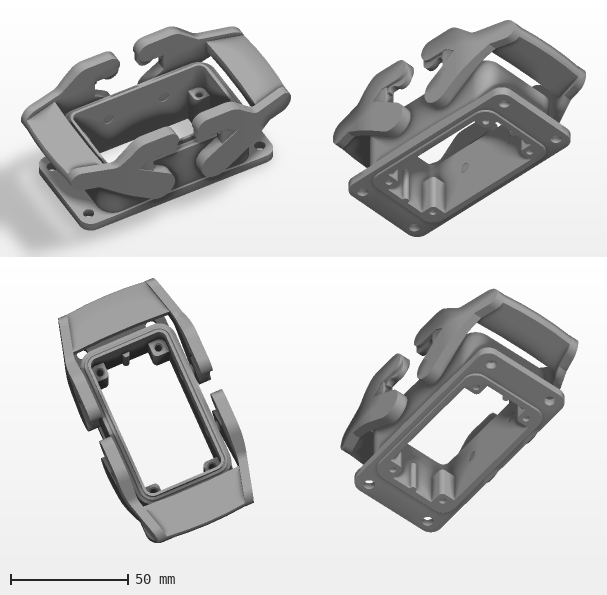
import cadquery as cq
import math

BASE_WIDTH = 45.4
BASE_LENGTH = 93.7
BASE_CORNER_RADIUS = 5.4
BASE_BOTTOM = 0.9
BASE_TOP = 4.9
CROWN_TOP = 5.8
CROWN_HALF_LENGTH = 31.2
BASE_HOLE_X = 16.0
BASE_HOLE_Y = 41.8
BASE_HOLE_RADIUS = 2.4

BODY_WIDTH = 43.6
BODY_LENGTH = 73.0
BODY_CORNER_RADIUS = 7.7
BODY_TOP = 27.7
LIP_TOP = 30.0
LIP_INSET = 3.2
CAVITY_INSET = 4.4
FOOT_INSET = 1.3
FOOT_CHAMFER = 0.3

BEAD_INSET = 1.3
BEAD_WIDTH = 1.6
BEAD_HEIGHT = 0.7
BEAD_BEVEL = 0.5

BOSS_INNER_X = 10.4
BOSS_INNER_Y = 25.3
BOSS_CORNER_RADIUS = 2.0
BOSS_TOP = 16.7
BOSS_HOLE_X = 13.6
BOSS_HOLE_Y = 28.6
BOSS_HOLE_RADIUS = 1.5
BOSS_SINK_RADIUS = 2.2
NUB_RADIUS = 1.5
NUB_Y = 31.8

PIVOT_Y = 13.6
PIVOT_Z = 18.6
PIN_RADIUS = 2.5
PIN_RECESS = 0.3

LEVER_WIDTH = 57.0
ARM_THICKNESS = 5.3
ARM_END_Y = 53.7
ARM_SLOPE_DEG = 15.0
OUTER_BEND_START_Y = 25.2
OUTER_BEND_RADIUS = 34.3
INNER_BEND_START_Y = 32.0
INNER_BEND_RADIUS = 16.4

EYE_RADIUS = 7.0
GRIP_RADIUS = 5.0
GRIP_Z = 33.9
GRIP_ROOT = (33.7, 38.5)
GRIP_ROOT_RADIUS = 4.4
GRIP_UNDERSIDE_Y = 41.6
LEVER_TOP = 47.7
SHOULDER_Y = 23.2
SHOULDER_RADIUS = 8.0
NOSE_END_Y = 4.6
NOSE_RADIUS = 5.0
NOSE_Z = 42.6
MOUTH_Y = 19.0
MOUTH_POINT = (24.1, 33.7)

WEB_THICKNESS = 4.8
WEB_EDGE_Y = 16.7
HOOK_THICKNESS = 2.6
HOOK_BOTTOM = 34.7
NOTCH_Y = 13.5
NOTCH_RADIUS = 2.0
LOBE_RADIUS = 3.9
LOBE_Z = 38.3

BAR_BOTTOM = 31.0
BAR_TOP = 36.3
BAR_END_Y = 54.7
BAR_OUTER_RADIUS = 153.2
BAR_INNER_Y = 37.8
BAR_INNER_RADIUS = 290.0

LEVER_HALF_WIDTH = LEVER_WIDTH / 2
ARM_INNER_X = LEVER_HALF_WIDTH - ARM_THICKNESS
CAVITY_HALF_WIDTH = BODY_WIDTH / 2 - CAVITY_INSET
CAVITY_HALF_LENGTH = BODY_LENGTH / 2 - CAVITY_INSET
GRIP_CENTER = (ARM_END_Y - GRIP_RADIUS, GRIP_Z)
GRIP_BOTTOM = GRIP_Z - GRIP_RADIUS
GRIP_TOP = GRIP_Z + GRIP_RADIUS
NOSE_CENTER = (NOSE_END_Y + NOSE_RADIUS, NOSE_Z)
NOSE_BOTTOM = NOSE_Z - NOSE_RADIUS
EYE_CENTER = (PIVOT_Y, PIVOT_Z)
SIGNS = (-1, 1)
CORNERS = [(x, y) for x in SIGNS for y in SIGNS]


def body_block(inset, bottom, top, taper=0):
    """Rounded block that follows the body outline, moved inward by the inset."""
    return (
        cq.Workplane("XY", origin=(0, 0, bottom))
        .sketch()
        .rect(BODY_WIDTH - 2 * inset, BODY_LENGTH - 2 * inset)
        .vertices()
        .fillet(BODY_CORNER_RADIUS - inset)
        .finalize()
        .extrude(top - bottom, taper=taper)
    )


def upright_cylinder(x, y, radius, bottom, top):
    return cq.Workplane("XY", origin=(x, y, bottom)).circle(radius).extrude(top - bottom)


def cross_cylinder(y, z, radius, half_length):
    """Cylinder along X, centred on X = 0."""
    return cq.Workplane("YZ").center(y, z).circle(radius).extrude(half_length, both=True)


def tangent_point(point, center, radius, side):
    """Where the line from a point touches a circle; side picks one of the two answers."""
    dy, dz = point[0] - center[0], point[1] - center[1]
    angle = math.atan2(dz, dy) + side * math.acos(radius / math.hypot(dy, dz))
    return center[0] + radius * math.cos(angle), center[1] + radius * math.sin(angle)


def rounded_outline(plane, corners):
    """Closed outline through (u, v, radius) corners, each rounded by its radius."""
    outline = None
    for index, (u, v, radius) in enumerate(corners):
        before = corners[index - 1]
        after = corners[(index + 1) % len(corners)]
        to_before = cq.Vector(before[0] - u, before[1] - v).normalized()
        to_after = cq.Vector(after[0] - u, after[1] - v).normalized()
        corner = cq.Vector(u, v)
        half_angle = to_before.getAngle(to_after) / 2
        setback = radius / math.tan(half_angle)
        start = corner + to_before * setback
        end = corner + to_after * setback
        bisector = (to_before + to_after).normalized()
        middle = corner + bisector * (radius / math.sin(half_angle) - radius)
        if outline is None:
            outline = plane.moveTo(start.x, start.y)
        else:
            outline = outline.lineTo(start.x, start.y)
        if radius > 0:
            outline = outline.threePointArc((middle.x, middle.y), (end.x, end.y))
    return outline.close()


def make_base():
    """Mounting plate with a slightly crowned top and four screw holes."""
    profile = (
        cq.Workplane("YZ")
        .moveTo(-BASE_LENGTH / 2, BASE_BOTTOM)
        .lineTo(BASE_LENGTH / 2, BASE_BOTTOM)
        .lineTo(BASE_LENGTH / 2, BASE_TOP)
        .lineTo(CROWN_HALF_LENGTH, BASE_TOP)
        .threePointArc((0, CROWN_TOP), (-CROWN_HALF_LENGTH, BASE_TOP))
        .lineTo(-BASE_LENGTH / 2, BASE_TOP)
        .close()
    )
    base = profile.extrude(BASE_WIDTH / 2, both=True)
    long_corners = cq.selectors.BoxSelector(
        (-BASE_WIDTH, CROWN_HALF_LENGTH + 1.1, 0), (BASE_WIDTH, BASE_LENGTH, BASE_TOP)
    ) + cq.selectors.BoxSelector(
        (-BASE_WIDTH, -CROWN_HALF_LENGTH - 1.1, 0), (BASE_WIDTH, -BASE_LENGTH, BASE_TOP)
    )
    base = base.edges("|Z").edges(long_corners).fillet(BASE_CORNER_RADIUS)
    for x, y in CORNERS:
        base = base.cut(
            upright_cylinder(x * BASE_HOLE_X, y * BASE_HOLE_Y, BASE_HOLE_RADIUS, BASE_BOTTOM, BASE_TOP)
        )
    return base


def make_bead():
    """Ring with bevelled sides on top of the wall, outside the lip."""
    bevel_angle = math.degrees(math.atan2(BEAD_BEVEL, BEAD_HEIGHT))
    top = BODY_TOP + BEAD_HEIGHT
    outer = body_block(BEAD_INSET, BODY_TOP, top, bevel_angle)
    inner = body_block(BEAD_INSET + BEAD_WIDTH, BODY_TOP, top, -bevel_angle)
    return outer.cut(inner)


def make_boss(x_sign, y_sign):
    """Screw boss that fills one corner of the cavity."""
    x_size = CAVITY_HALF_WIDTH - BOSS_INNER_X
    y_size = CAVITY_HALF_LENGTH - BOSS_INNER_Y
    boss = (
        cq.Workplane("XY")
        .center(x_sign * (BOSS_INNER_X + x_size / 2), y_sign * (BOSS_INNER_Y + y_size / 2))
        .rect(x_size, y_size)
        .extrude(BOSS_TOP)
        .edges("|Z")
        .edges(cq.selectors.NearestToPointSelector((0, 0, BOSS_TOP / 2)))
        .fillet(BOSS_CORNER_RADIUS)
    )
    return boss.intersect(body_block(CAVITY_INSET, 0, BOSS_TOP))


def make_boss_hole(x_sign, y_sign):
    """Through hole with a small 45 degree countersink at the top."""
    return (
        cq.Workplane("XZ", origin=(x_sign * BOSS_HOLE_X, y_sign * BOSS_HOLE_Y, 0))
        .lineTo(BOSS_HOLE_RADIUS, 0)
        .lineTo(BOSS_HOLE_RADIUS, BOSS_TOP - (BOSS_SINK_RADIUS - BOSS_HOLE_RADIUS))
        .lineTo(BOSS_SINK_RADIUS, BOSS_TOP)
        .lineTo(0, BOSS_TOP)
        .close()
        .revolve(360, (0, 0, 0), (0, 1, 0))
    )


def make_housing():
    """Open box on a mounting plate, with bosses inside and lever pins on both sides."""
    housing = (
        body_block(FOOT_INSET, 0, BODY_TOP)
        .faces("<Z")
        .chamfer(FOOT_CHAMFER)
        .union(make_base())
        .union(body_block(0, BASE_BOTTOM, BODY_TOP))
        .union(make_bead())
        .union(body_block(LIP_INSET, BODY_TOP, LIP_TOP))
    )
    for y_sign in SIGNS:
        housing = housing.union(cross_cylinder(y_sign * PIVOT_Y, PIVOT_Z, PIN_RADIUS, LEVER_HALF_WIDTH))
    housing = housing.cut(body_block(CAVITY_INSET, 0, LIP_TOP))
    for y_sign in SIGNS:
        recess_reach = CAVITY_HALF_WIDTH + PIN_RECESS
        housing = housing.cut(cross_cylinder(y_sign * PIVOT_Y, PIVOT_Z, PIN_RADIUS, recess_reach))
        housing = housing.union(upright_cylinder(0, y_sign * NUB_Y, NUB_RADIUS, 0, BOSS_TOP))
    for x_sign, y_sign in CORNERS:
        housing = housing.union(make_boss(x_sign, y_sign)).cut(make_boss_hole(x_sign, y_sign))
    return housing


def arm_side_shape():
    """Side outline of both arms, filled across the whole width."""
    mouth_top = (MOUTH_Y, NOSE_BOTTOM)
    shoulder = (SHOULDER_Y, LEVER_TOP)
    underside = (GRIP_UNDERSIDE_Y, GRIP_BOTTOM)
    corners = [
        (*tangent_point(MOUTH_POINT, EYE_CENTER, EYE_RADIUS, 1), 0),
        (*MOUTH_POINT, 0),
        (*mouth_top, 0),
        (NOSE_CENTER[0], NOSE_BOTTOM, 0),
        (*tangent_point(shoulder, NOSE_CENTER, NOSE_RADIUS, 1), 0),
        (*shoulder, SHOULDER_RADIUS),
        (*GRIP_ROOT, GRIP_ROOT_RADIUS),
        (*tangent_point(GRIP_ROOT, GRIP_CENTER, GRIP_RADIUS, -1), 0),
        (GRIP_CENTER[0], GRIP_BOTTOM, 0),
        (*underside, 0),
        (*tangent_point(underside, EYE_CENTER, EYE_RADIUS, -1), 0),
    ]
    shape = rounded_outline(cq.Workplane("YZ"), corners).extrude(LEVER_HALF_WIDTH, both=True)
    discs = [(EYE_CENTER, EYE_RADIUS), (NOSE_CENTER, NOSE_RADIUS), (GRIP_CENTER, GRIP_RADIUS)]
    for center, radius in discs:
        shape = shape.union(cross_cylinder(*center, radius, LEVER_HALF_WIDTH))
    return shape


def bend(start_x, start_y, radius):
    """Middle of a bend, its end, and the end of the sloping line after it."""
    slope = math.radians(ARM_SLOPE_DEG)
    points = []
    for angle in (slope / 2, slope):
        points.append((start_x - radius * (1 - math.cos(angle)), start_y + radius * math.sin(angle)))
    end_x, end_y = points[1]
    tip_x = end_x - (ARM_END_Y - end_y) * math.tan(slope)
    return points[0], points[1], (tip_x, ARM_END_Y)


OUTER_BEND = bend(LEVER_HALF_WIDTH, OUTER_BEND_START_Y, OUTER_BEND_RADIUS)
INNER_BEND = bend(ARM_INNER_X, INNER_BEND_START_Y, INNER_BEND_RADIUS)


def arm_plan():
    """One arm seen from above: straight, then bent inward towards the grip."""
    outer_middle, outer_end, outer_tip = OUTER_BEND
    inner_middle, inner_end, inner_tip = INNER_BEND
    return (
        cq.Workplane("XY")
        .moveTo(ARM_INNER_X, 0)
        .lineTo(LEVER_HALF_WIDTH, 0)
        .lineTo(LEVER_HALF_WIDTH, OUTER_BEND_START_Y)
        .threePointArc(outer_middle, outer_end)
        .lineTo(*outer_tip)
        .lineTo(*inner_tip)
        .lineTo(*inner_end)
        .threePointArc(inner_middle, (ARM_INNER_X, INNER_BEND_START_Y))
        .close()
        .extrude(LEVER_TOP)
    )


def make_web():
    """Plate that closes the back of one arm's mouth, flush with the arm's inner face."""
    corners = [
        (WEB_EDGE_Y, PIVOT_Z),
        (MOUTH_POINT[0], PIVOT_Z),
        (MOUTH_POINT[0], NOSE_Z),
        (WEB_EDGE_Y, NOSE_Z),
    ]
    plane = cq.Workplane("YZ", origin=(ARM_INNER_X, 0, 0))
    return plane.polyline(corners).close().extrude(WEB_THICKNESS)


def make_hook():
    """Latch hook below the nose, with a notch, centred in the arm's thickness."""
    lobe_y = NOSE_END_Y + LOBE_RADIUS
    lobe_side = LOBE_RADIUS * math.sqrt(0.5)
    notch_side = NOTCH_RADIUS * math.sqrt(0.5)
    hook_x = ARM_INNER_X + (ARM_THICKNESS - HOOK_THICKNESS) / 2
    return (
        cq.Workplane("YZ", origin=(hook_x, 0, 0))
        .moveTo(MOUTH_Y, HOOK_BOTTOM)
        .lineTo(NOTCH_Y + NOTCH_RADIUS, HOOK_BOTTOM)
        .threePointArc(
            (NOTCH_Y, HOOK_BOTTOM + NOTCH_RADIUS),
            (NOTCH_Y - notch_side, HOOK_BOTTOM + notch_side),
        )
        .lineTo(lobe_y + lobe_side, LOBE_Z - lobe_side)
        .threePointArc((lobe_y, LOBE_Z - LOBE_RADIUS), (NOSE_END_Y, LOBE_Z))
        .lineTo(NOSE_END_Y, NOSE_Z)
        .lineTo(MOUTH_Y, NOSE_Z)
        .close()
        .extrude(HOOK_THICKNESS)
    )


def make_grip_bar():
    """Bar between the arms, bowed outward and rounded along its outer edge."""
    round_center = BAR_OUTER_RADIUS - GRIP_RADIUS
    bow_center_y = BAR_END_Y - BAR_OUTER_RADIUS
    inner_reach = BAR_OUTER_RADIUS - 2 * (BAR_END_Y - BAR_INNER_Y)
    half_turn_deg = 10
    section = (
        cq.Workplane("YZ", origin=(0, bow_center_y, 0))
        .moveTo(inner_reach, GRIP_BOTTOM)
        .lineTo(round_center, GRIP_BOTTOM)
        .threePointArc((BAR_OUTER_RADIUS, GRIP_Z), (round_center, GRIP_TOP))
        .lineTo(inner_reach, GRIP_TOP)
        .close()
    )
    bowed = section.revolve(2 * half_turn_deg, (0, 0, 0), (0, 1, 0))
    bowed = bowed.rotate((0, bow_center_y, 0), (0, bow_center_y, 1), -half_turn_deg)

    _, bend_end, inner_tip = INNER_BEND
    overlap = ARM_THICKNESS / 4
    edge_y = BAR_INNER_Y - BAR_INNER_RADIUS + math.sqrt(BAR_INNER_RADIUS**2 - bend_end[0] ** 2)
    plan = (
        cq.Workplane("XY", origin=(0, 0, BAR_BOTTOM))
        .moveTo(-bend_end[0] - overlap, edge_y)
        .threePointArc((0, BAR_INNER_Y), (bend_end[0] + overlap, edge_y))
        .lineTo(inner_tip[0] + overlap, ARM_END_Y)
        .lineTo(inner_tip[0] + overlap, BAR_END_Y)
        .lineTo(-inner_tip[0] - overlap, BAR_END_Y)
        .lineTo(-inner_tip[0] - overlap, ARM_END_Y)
        .close()
        .extrude(BAR_TOP - BAR_BOTTOM)
    )
    return bowed.intersect(plan)


def make_lever():
    """Locking lever at the +Y end: two arms with hooks, joined by the grip bar."""
    arm = arm_plan().intersect(arm_side_shape()).union(make_web()).union(make_hook())
    lever = arm.union(arm.mirror("YZ")).union(make_grip_bar())
    return lever.cut(cross_cylinder(PIVOT_Y, PIVOT_Z, PIN_RADIUS, LEVER_HALF_WIDTH))


housing = make_housing()
lever = make_lever()
levers = [lever.rotate((0, 0, 0), (0, 0, 1), turn) for turn in (0, 180)]

result = cq.Compound.makeCompound([housing.val(), *[copy.val() for copy in levers]])